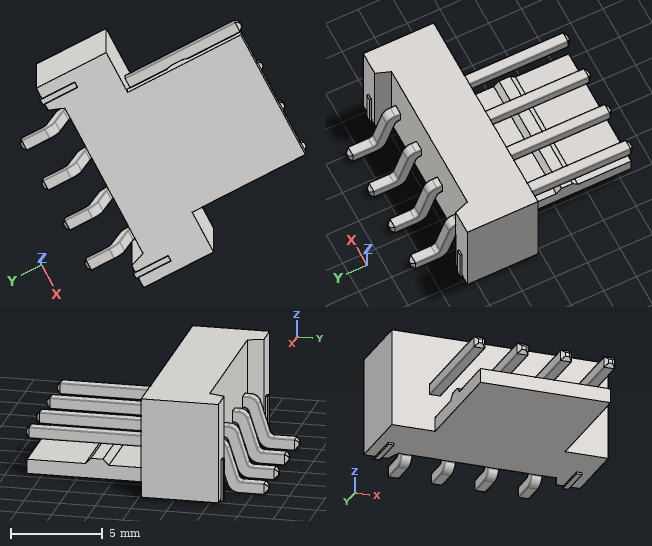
import cadquery as cq
import math


housing_width = 12.7
housing_depth = 4.34
housing_height = 5.71
recess_depth = 0.87
recess_floor_width = 9.25
recess_mouth_width = 9.87

pin_count = 4
pin_pitch = 2.55
tongue_width = (pin_count - 1) * pin_pitch
tongue_thickness = 0.83
front_reach = 7.0
ridge_height = 0.33
ridge_near_face = 2.4
ridge_base = 1.33

overall_length = 13.6
pin_size = 0.64
pin_axis_height = 2.49
pin_tip = 0.2
pin_edge_radius = 0.04
underside_drop = 0.11
leg_tilt = 18.0
foot_corner_y = 4.95
shoulder_outer_radius = 0.56
foot_outer_radius = 0.68
inner_bend_radius = 0.29

tab_width = 0.33
tab_offset = 5.52
tab_top = 2.27
tab_front_y = 2.3
tab_thickness = 2 * underside_drop


def make_housing():
    floor_y = housing_depth - recess_depth
    half_width = housing_width / 2
    outline = [
        (-half_width, 0),
        (half_width, 0),
        (half_width, housing_depth),
        (recess_mouth_width / 2, housing_depth),
        (recess_floor_width / 2, floor_y),
        (-recess_floor_width / 2, floor_y),
        (-recess_mouth_width / 2, housing_depth),
        (-half_width, housing_depth),
    ]
    return cq.Workplane("XY").polyline(outline).close().extrude(housing_height)


def extrude_side_profile(points, width):
    """Extrude a closed (Y, Z) outline symmetrically about X = 0."""
    return cq.Workplane("YZ").polyline(points).close().extrude(width / 2, both=True)


def make_tongue():
    ridge_start = -ridge_near_face
    ridge_end = ridge_start - ridge_base
    ridge_top = tongue_thickness + ridge_height
    profile = [
        (0, 0),
        (0, tongue_thickness),
        (ridge_start, tongue_thickness),
        (ridge_start - ridge_height, ridge_top),
        (ridge_end + ridge_height, ridge_top),
        (ridge_end, tongue_thickness),
        (-front_reach, tongue_thickness),
        (-front_reach, 0),
    ]
    return extrude_side_profile(profile, tongue_width)


def bend_edge(y, z):
    return cq.selectors.NearestToPointSelector((0, y, z))


def make_pin():
    back_y = overall_length - front_reach
    bar_top = pin_axis_height + pin_size / 2
    bar_bottom = bar_top - pin_size
    foot_bottom = -underside_drop
    foot_top = foot_bottom + pin_size

    lean = math.tan(math.radians(leg_tilt))
    miter = pin_size * math.tan(math.radians(90 - leg_tilt) / 2)
    top_corner_y = foot_corner_y - (bar_top - foot_top) * lean
    shoulder_outer = (top_corner_y, bar_top)
    shoulder_inner = (top_corner_y - miter, bar_bottom)
    foot_inner = (foot_corner_y, foot_top)
    foot_outer = (foot_corner_y - miter, foot_bottom)
    profile = [
        (-front_reach, bar_bottom),
        (-front_reach, bar_top),
        shoulder_outer,
        foot_inner,
        (back_y, foot_top),
        (back_y, foot_bottom),
        foot_outer,
        shoulder_inner,
    ]
    bends = [
        (shoulder_outer, shoulder_outer_radius),
        (shoulder_inner, inner_bend_radius),
        (foot_inner, inner_bend_radius),
        (foot_outer, foot_outer_radius),
    ]
    pin = extrude_side_profile(profile, pin_size)
    for corner, radius in bends:
        pin = pin.edges("|X").edges(bend_edge(*corner)).fillet(radius)

    pin = pin.faces("<Y or >Y").chamfer(pin_tip)
    pin = pin.faces("<X or >X").edges("not(<Y or >Y)").fillet(pin_edge_radius)
    return pin


def make_solder_tab():
    back_y = housing_depth + underside_drop
    profile = [
        (tab_front_y, -underside_drop),
        (back_y, -underside_drop),
        (back_y, tab_top),
        (back_y - tab_thickness, tab_top),
        (back_y - tab_thickness, tab_thickness - underside_drop),
        (tab_front_y, tab_thickness - underside_drop),
    ]
    return extrude_side_profile(profile, tab_width)


result = make_housing().union(make_tongue())

pin = make_pin()
for index in range(pin_count):
    pin_x = (index - (pin_count - 1) / 2) * pin_pitch
    result = result.union(pin.translate((pin_x, 0, 0)))

tab = make_solder_tab()
for side in (-1, 1):
    result = result.union(tab.translate((side * tab_offset, 0, 0)))